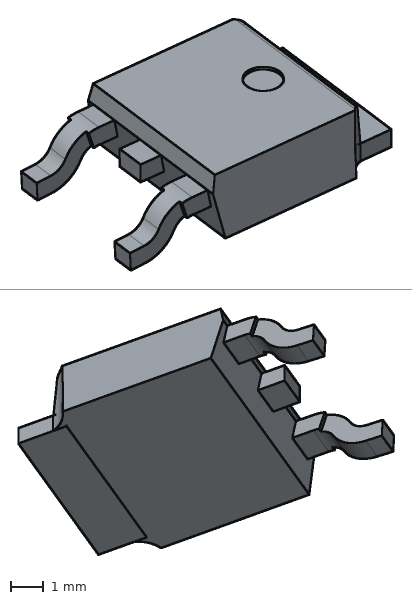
import cadquery as cq
import math

housing_height = 2.3
parting_height = 1.68
base_width = 6.6
top_width = 6.01
base_front = 0.31
top_front = 0.13
base_rear = 6.08
top_rear = 5.82
rear_fillet = 0.26
corner_radius = 0.97
corner_x = 3.62
corner_y = 6.29
mark_diameter = 1.25
mark_y = 4.35
mark_depth = 0.1

thickness = 0.67
tab_width = 5.37
tab_rear = 7.2
tab_inner = 5.55
lead_pitch = 2.3
lead_wide = 1.03
lead_narrow = 0.77
stub_length = 0.79
lead_tip = tab_rear - 10.1

bend_start = -0.6
inner_radius = 0.67
outer_radius = inner_radius + thickness
bend_angle = 63.8
foot_angle = 3
shoulder_angle = 17

root_y = base_front + 0.1


def make_housing(tab):
    """Tapered block with a V-shaped front, scooped rear corners, a round top mark and a tab recess."""
    side_profile = [
        (base_front, 0), (0, parting_height), (top_front, housing_height),
        (top_rear, housing_height), (base_rear, 0),
    ]
    block = cq.Workplane("YZ").polyline(side_profile).close().extrude(base_width / 2, both=True)
    block = block.faces(">Z").edges(">Y").fillet(rear_fillet)

    front_profile = [
        (-base_width / 2, 0), (base_width / 2, 0),
        (top_width / 2, housing_height), (-top_width / 2, housing_height),
    ]
    taper = cq.Workplane("XZ").polyline(front_profile).close().extrude(-tab_rear)
    corner_scoops = (
        cq.Workplane("XY")
        .pushPoints([(-corner_x, corner_y), (corner_x, corner_y)])
        .circle(corner_radius).extrude(housing_height)
    )
    mark = (
        cq.Workplane("XY", origin=(0, mark_y, housing_height - mark_depth))
        .circle(mark_diameter / 2).extrude(mark_depth)
    )
    return block.intersect(taper).cut(corner_scoops).cut(mark).cut(tab)


def make_tab():
    """Flat heat tab set into the rear underside of the housing."""
    return (
        cq.Workplane("XY")
        .center(0, (tab_inner + tab_rear) / 2)
        .rect(tab_width, tab_rear - tab_inner).extrude(thickness)
    )


def make_stub(housing):
    """Short straight centre lead."""
    blank = (
        cq.Workplane("XY", origin=(0, 0, parting_height - thickness))
        .center(0, (root_y - stub_length) / 2)
        .rect(lead_wide, root_y + stub_length).extrude(thickness)
    )
    return blank.cut(housing)


def upper_point(radius, degrees):
    """(Y, Z) on the upper bend, its angle measured from straight up towards the front."""
    angle = math.radians(degrees)
    center_z = parting_height - outer_radius
    return (bend_start - radius * math.sin(angle), center_z + radius * math.cos(angle))


def lower_point(radius, degrees):
    """(Y, Z) on the lower bend, its angle measured from straight down towards the rear."""
    angle = math.radians(degrees)
    center_y, center_z = upper_point(outer_radius + inner_radius, bend_angle)
    return (center_y + radius * math.sin(angle), center_z - radius * math.cos(angle))


def make_lead(housing, x):
    """S-bent lead, wide at the root and narrow beyond the shoulder."""
    middle_lower = (bend_angle + foot_angle) / 2
    foot = math.radians(foot_angle)
    foot_top_y, foot_top_z = lower_point(inner_radius, foot_angle)
    foot_length = (foot_top_y - lead_tip) / math.cos(foot)
    tip_top = (lead_tip, foot_top_z - foot_length * math.sin(foot))
    tip_bottom = (tip_top[0] + thickness * math.sin(foot), tip_top[1] - thickness * math.cos(foot))

    narrow = (
        cq.Workplane("YZ", origin=(x, 0, 0))
        .moveTo(root_y, parting_height)
        .lineTo(bend_start, parting_height)
        .threePointArc(upper_point(outer_radius, bend_angle / 2), upper_point(outer_radius, bend_angle))
        .threePointArc(lower_point(inner_radius, middle_lower), (foot_top_y, foot_top_z))
        .lineTo(*tip_top)
        .lineTo(*tip_bottom)
        .lineTo(*lower_point(outer_radius, foot_angle))
        .threePointArc(lower_point(outer_radius, middle_lower), lower_point(outer_radius, bend_angle))
        .threePointArc(upper_point(inner_radius, bend_angle / 2), upper_point(inner_radius, 0))
        .lineTo(root_y, parting_height - thickness)
        .close().extrude(lead_narrow / 2, both=True)
    )
    wide = (
        cq.Workplane("YZ", origin=(x, 0, 0))
        .moveTo(root_y, parting_height)
        .lineTo(bend_start, parting_height)
        .threePointArc(
            upper_point(outer_radius, shoulder_angle / 2), upper_point(outer_radius, shoulder_angle)
        )
        .lineTo(*upper_point(inner_radius, shoulder_angle))
        .threePointArc(upper_point(inner_radius, shoulder_angle / 2), upper_point(inner_radius, 0))
        .lineTo(root_y, parting_height - thickness)
        .close().extrude(lead_wide / 2, both=True)
    )
    return narrow.union(wide).cut(housing)


tab = make_tab()
housing = make_housing(tab)
stub = make_stub(housing)
leads = [make_lead(housing, side * lead_pitch) for side in (-1, 1)]

result = cq.Compound.makeCompound(
    [solid for body in (housing, tab, stub, *leads) for solid in body.solids().vals()]
)